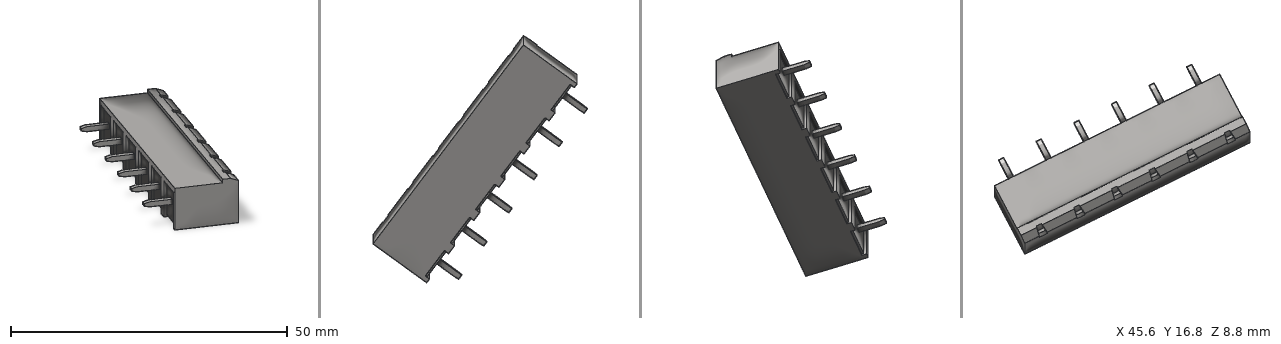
import cadquery as cq
import math

length = 45.65
total_depth = 16.8
height = 8.8

pole_count = 6
pitch = 7.63
pole_positions = [(i - (pole_count - 1) / 2) * pitch for i in range(pole_count)]

body_depth = 12.05
ridge_step = 0.7
ridge_depth = 3.0
ridge_slope_depth = 1.5
ridge_slope_drop = 0.6

pocket_width = 5.8
pocket_height = 7.05
pocket_depth = 0.55
relief_height = 0.4
relief_depth = 0.9

pin_size = 1.0
pin_length = total_depth - body_depth
pin_root = 0.45
pin_center_height = 4.2
pin_tip_length = 1.0
pin_tip_height = 0.5

notch_length = 1.8
notch_rear_width = 1.65
notch_side_angle = 10.0
notch_depth = 1.0
notch_ramp_length = 0.7
notch_lip = 0.55
notch_floor_radius = 2.9


def make_body():
    deck = height - ridge_step
    profile = [
        (0, 0),
        (body_depth, 0),
        (body_depth, height - ridge_slope_drop),
        (body_depth - ridge_slope_depth, height),
        (body_depth - ridge_depth, height),
        (body_depth - ridge_depth, deck),
        (0, deck),
    ]
    return cq.Workplane("YZ").polyline(profile).close().extrude(length / 2, both=True)


def make_pocket():
    """Shallow recess open at the underside, with a deeper relief along its bottom edge."""
    recess = cq.Workplane("XY").box(pocket_width, pocket_depth, pocket_height, centered=(True, False, False))
    relief = cq.Workplane("XY").box(pocket_width, relief_depth, relief_height, centered=(True, False, False))
    return recess.union(relief)


def make_pin():
    """Square pin whose tip narrows in height only, rooted behind the pocket floor."""
    half = pin_size / 2
    half_tip = pin_tip_height / 2
    shoulder = pin_tip_length - pin_length
    root = pocket_depth + pin_root
    profile = [
        (root, -half),
        (root, half),
        (shoulder, half),
        (-pin_length, half_tip),
        (-pin_length, -half_tip),
        (shoulder, -half),
    ]
    pin = cq.Workplane("YZ").polyline(profile).close().extrude(half, both=True)
    return pin.translate((0, 0, pin_center_height))


def make_notch():
    """Tapered notch with a hollow floor, a 45 degree conical rear lip and a sloped front end."""
    front = body_depth - notch_length
    lip_start = body_depth - notch_lip
    floor = height - notch_depth
    half_rear = notch_rear_width / 2
    half_front = half_rear - notch_length * math.tan(math.radians(notch_side_angle))
    outline = [(-half_rear, body_depth), (half_rear, body_depth), (half_front, front), (-half_front, front)]
    walls = (
        cq.Workplane("XY").workplane(offset=floor - notch_depth)
        .polyline(outline).close().extrude(2 * notch_depth)
    )

    axis_height = floor + notch_floor_radius
    hollow_half_profile = [
        (front, axis_height),
        (front, floor),
        (lip_start, floor),
        (body_depth, floor - notch_lip),
        (body_depth, axis_height),
    ]
    hollow = (
        cq.Workplane("YZ").polyline(hollow_half_profile).close()
        .revolve(360, (0, axis_height, 0), (1, axis_height, 0))
    )

    ramp_profile = [(front, height), (front, floor), (front + notch_ramp_length, floor)]
    ramp = cq.Workplane("YZ").polyline(ramp_profile).close().extrude(half_rear, both=True)
    return walls.intersect(hollow).cut(ramp)


result = make_body()
for x in pole_positions:
    result = result.cut(make_pocket().translate((x, 0, 0)))
    result = result.cut(make_notch().translate((x, 0, 0)))
    result = result.union(make_pin().translate((x, 0, 0)))